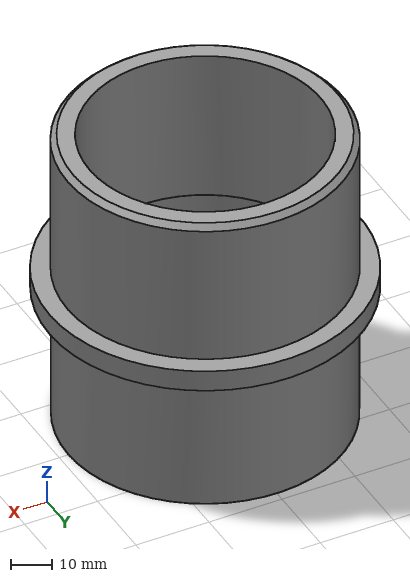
import cadquery as cq

height = 84.0
lower_diameter = 75.0
upper_diameter = 75.1
lower_bore_diameter = 63.0
upper_bore_diameter = 63.15
bore_step_height = 42.0
rim_chamfer = 1.5

collar_diameter = 85.0
collar_thickness = 5.9
collar_bottom = 38.0


def cylinder(diameter, bottom, top):
    """Solid cylinder on the Z axis between two heights."""
    return cq.Workplane("XY").workplane(offset=bottom).circle(diameter / 2).extrude(top - bottom)


collar_top = collar_bottom + collar_thickness
lower_spigot = cylinder(lower_diameter, 0, collar_bottom)
collar = cylinder(collar_diameter, collar_bottom, collar_top)
upper_spigot = cylinder(upper_diameter, collar_top, height).faces(">Z").chamfer(rim_chamfer)
body = lower_spigot.union(collar).union(upper_spigot)

lower_bore = cylinder(lower_bore_diameter, 0, bore_step_height)
upper_bore = cylinder(upper_bore_diameter, bore_step_height, height)

result = body.cut(lower_bore).cut(upper_bore)